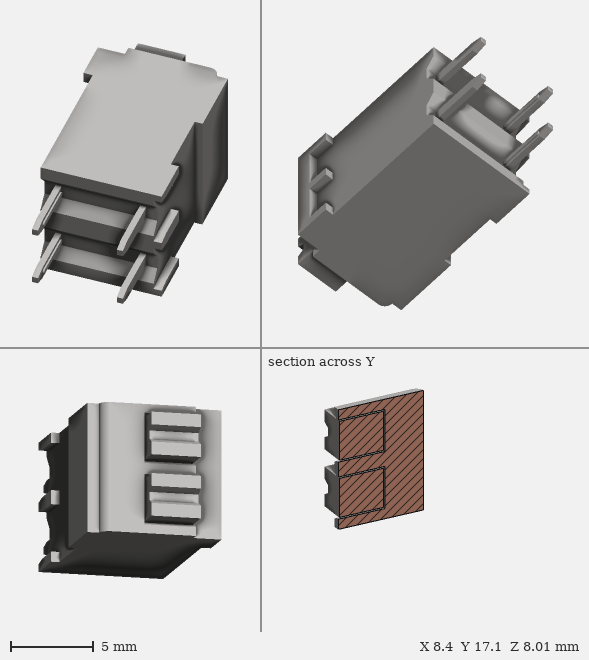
import cadquery as cq


height = 8.01
pole_pitch = 3.8
pole_heights = (-pole_pitch / 2, pole_pitch / 2)
body_width = 7.8
body_length = 11.63
overlap = 0.17

step_left = 1.15
step_right = 7.07
step_rise = 0.6
step_rear = body_length + step_rise

frame_stand_off = 0.6
frame_front = 9.1
frame_bar_front = 10.56
frame_outer_leg = 0.72
frame_middle_leg = 0.67

notch_depth = 0.51
notch_floor = body_width - notch_depth
notch_front = 3.0
notch_rear_top = 7.19
notch_rear_lean = 0.07
key_slot_mouth_height = 3.25
key_slot_height = 2.93
key_slot_lead_in = 0.84

groove_depth = 0.63
groove_mouth_height = 2.44
groove_floor_height = 1.0

button_left = 1.23
button_width = 3.07
button_height = 2.64
button_rear = 13.67
button_notch_depth = 0.48
button_notch_mouth_height = 1.06
button_notch_floor_height = 0.51
slot_clearance = 0.07
slot_bevel_length = 0.25
slot_bevel_height = 0.17

left_pin_edge = 0.72
right_pin_edge = 6.19
pin_thickness = 0.4
pin_height = 0.8
pin_front = -3.48
pin_tip_height = 0.41
pin_taper_start = -2.71
rib_height = 0.35
rib_stand_off = 0.1
rib_rear = 0.51


def box(x_range, y_range, z_range):
    """Box spanning the given (low, high) ranges."""
    corner = cq.Vector(x_range[0], y_range[0], z_range[0])
    sizes = [high - low for low, high in (x_range, y_range, z_range)]
    return cq.Workplane("XY").add(cq.Solid.makeBox(*sizes, pnt=corner))


def side_prism(points, x_range):
    """Prism along X over a closed outline of (y, z) points."""
    low, high = x_range
    return cq.Workplane("YZ", origin=(low, 0, 0)).polyline(points).close().extrude(high - low)


def symmetric_prism(half_outline, z_center, x_range):
    """Prism along X whose outline mirrors (y, half height) points about z_center."""
    upper = [(y, z_center + half) for y, half in half_outline]
    lower = [(y, z_center - half) for y, half in reversed(half_outline)]
    return side_prism(upper + lower, x_range)


def centered_range(center, size):
    """Range of the given size about a center."""
    return (center - size / 2, center + size / 2)


def make_housing():
    """Main block with the rear step, whose right corner is a quarter round."""
    outline = (
        cq.Workplane("XY", origin=(0, 0, -height / 2))
        .moveTo(0, 0)
        .lineTo(body_width, 0)
        .lineTo(body_width, body_length)
        .lineTo(step_right, body_length)
        .radiusArc((step_right - step_rise, step_rear), -step_rise)
        .lineTo(step_left, step_rear)
        .lineTo(step_left, body_length)
        .lineTo(0, body_length)
        .close()
    )
    return outline.extrude(height)


def make_latch_frame():
    """Frame on the left wall: a rear bar with three forward legs around two windows."""
    frame = box((-frame_stand_off, overlap), (frame_front, body_length), (-height / 2, height / 2))
    window_low = frame_middle_leg / 2
    window_high = height / 2 - frame_outer_leg
    for window_z in ((window_low, window_high), (-window_high, -window_low)):
        frame = frame.cut(box((-frame_stand_off, 0), (frame_front, frame_bar_front), window_z))
    return frame


def make_wall_notch():
    """Notch through the full height of the right wall with a leaning rear face."""
    outline = [
        (notch_front, -height / 2),
        (notch_rear_top - notch_rear_lean, -height / 2),
        (notch_rear_top, height / 2),
        (notch_front, height / 2),
    ]
    return side_prism(outline, (notch_floor, body_width))


def make_key_slot(z):
    """Opening from the front face back to the wall notch, with a tapered lead-in."""
    half_outline = [
        (0, key_slot_mouth_height / 2),
        (key_slot_lead_in, key_slot_height / 2),
        (notch_front, key_slot_height / 2),
    ]
    return symmetric_prism(half_outline, z, (notch_floor, body_width))


def make_groove(z):
    """Tapered groove across the front face that the pins leave from."""
    half_outline = [(0, groove_mouth_height / 2), (groove_depth, groove_floor_height / 2)]
    return symmetric_prism(half_outline, z, (0, body_width))


def make_button_slot(z):
    """Slot through the left side of the step, bevelled at its rear mouth."""
    half_height = button_height / 2 + slot_clearance
    half_outline = [
        (body_length, half_height),
        (step_rear - slot_bevel_length, half_height),
        (step_rear, half_height + slot_bevel_height),
    ]
    slot_right = button_left + button_width + slot_clearance
    return symmetric_prism(half_outline, z, (step_left, slot_right))


def make_button(z):
    """Push button with a tapered groove across its rear end."""
    button_x = (button_left, button_left + button_width)
    button = box(button_x, (body_length - overlap, button_rear), centered_range(z, button_height))
    half_outline = [
        (button_rear - button_notch_depth, button_notch_floor_height / 2),
        (button_rear, button_notch_mouth_height / 2),
    ]
    return button.cut(symmetric_prism(half_outline, z, button_x))


def make_pin(left_edge, z):
    """Flat pin with a tapered tip."""
    half_outline = [
        (groove_depth + overlap, pin_height / 2),
        (pin_taper_start, pin_height / 2),
        (pin_front, pin_tip_height / 2),
    ]
    return symmetric_prism(half_outline, z, (left_edge, left_edge + pin_thickness))


def make_rib(left_edge, z):
    """Slot-shaped rib running along a pin."""
    rib_length = rib_rear - pin_taper_start
    rib_middle = (rib_rear + pin_taper_start) / 2
    return (
        cq.Workplane("YZ", origin=(left_edge, rib_middle, z))
        .slot2D(rib_length, rib_height)
        .extrude(pin_thickness + rib_stand_off)
    )


result = make_housing().union(make_latch_frame()).cut(make_wall_notch())

pin_and_rib_edges = (
    (left_pin_edge, left_pin_edge),
    (right_pin_edge, right_pin_edge - rib_stand_off),
)

for pole_z in pole_heights:
    result = result.cut(make_key_slot(pole_z))
    result = result.cut(make_groove(pole_z))
    result = result.cut(make_button_slot(pole_z))
    result = result.union(make_button(pole_z))

    for pin_edge, rib_edge in pin_and_rib_edges:
        result = result.union(make_pin(pin_edge, pole_z))
        result = result.union(make_rib(rib_edge, pole_z))